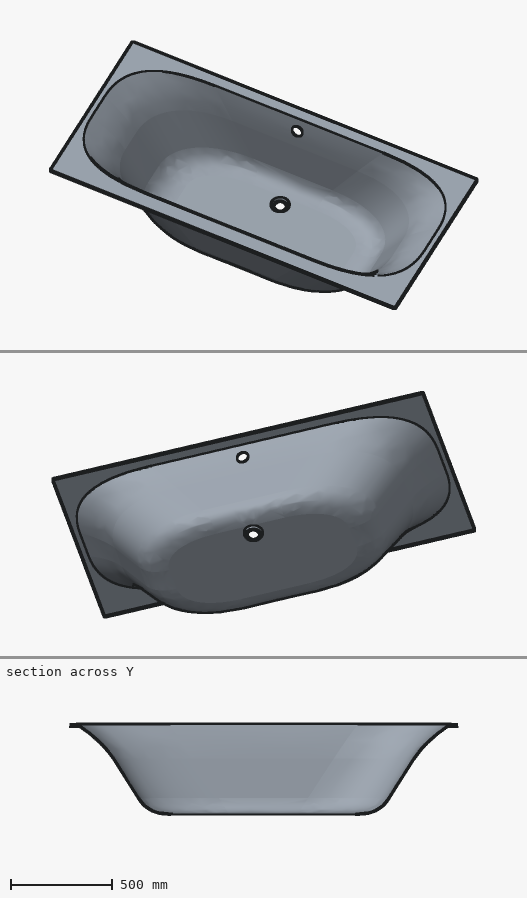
import cadquery as cq

length = 1900.0
width = 898.0
height = 465.0
sheet = 4.7
slope_allowance = 1.2
rim_depth = 15.0
rim_corner_radius = 10.0
rim_edge_round = 4.7
mouth_round = 4.0

basin_y = 10.0
floor_depth = 442.0
base_depth = 368.0
waist_depth = 173.0
flare_depth = 85.0
floor_fall = 0.009

drain_y = 179.0
drain_top_radius = 44.0
drain_bottom_radius = 35.0
drain_hole_radius = 28.0
recess_overrun = 2.0

overflow_radius = 28.0
overflow_depth = 76.0

MOUTH = (915.0, 372.0, 465.0, 76.0, 0.0, 0.0, 0.68)
WAIST = (733.0, 335.0, 344.0, 60.0, -waist_depth, 0.0, 0.62)
BASE = (610.0, 310.0, 218.0, 60.0, -base_depth, floor_fall, 0.6)
FLOOR = (460.0, 215.0, 175.0, 60.0, -floor_depth, floor_fall, 0.6)


def blend(first, second, share):
    """Outline between two outlines; a share outside 0..1 extends the wall beyond them."""
    return tuple(a + (b - a) * share for a, b in zip(first, second))


def level(outline):
    """Height of an outline on the basin axis."""
    return outline[4]


def offset(outline, outward_x=0.0, outward_y=0.0, down=0.0):
    """Outline widened along X and Y and lowered."""
    half_x, half_y, straight_x, straight_y, z, fall, fullness = outline
    return (half_x + outward_x, half_y + outward_y, straight_x, straight_y, z - down, fall, fullness)


def curved_band(start, tangent, end, steps=4):
    """Outlines along a quadratic Bezier sweep from start to end."""
    shares = [step / steps for step in range(steps + 1)]
    return [blend(blend(start, tangent, s), blend(tangent, end, s), s) for s in shares]


def outline_wire(outline):
    """Closed basin outline: four straight stretches joined by Bezier corners."""
    half_x, half_y, straight_x, straight_y, z, fall, fullness = outline
    handle_x = straight_x + (half_x - straight_x) * fullness
    handle_y = straight_y + (half_y - straight_y) * fullness
    side_to_end = [
        (straight_x, half_y),
        (handle_x, half_y),
        (half_x, handle_y),
        (half_x, straight_y),
    ]

    def corner(sign_x, sign_y):
        points = [
            cq.Vector(sign_x * x, basin_y + sign_y * y, z - fall * sign_y * y) for x, y in side_to_end
        ]
        return points if sign_x == sign_y else points[::-1]

    corners = [corner(1, 1), corner(1, -1), corner(-1, -1), corner(-1, 1)]
    edges = []
    for index, points in enumerate(corners):
        following = corners[(index + 1) % len(corners)]
        edges.append(cq.Edge.makeBezier(points))
        edges.append(cq.Edge.makeLine(points[-1], following[0]))
    return cq.Wire.assembleEdges(edges)


def basin(mouth, waist, base, floor):
    """Solid basin: flared top, straight walls, and a rolled edge down to the floor."""
    def wall_at(z):
        return blend(waist, base, (z - level(waist)) / (level(base) - level(waist)))

    bands = [
        curved_band(mouth, wall_at(-flare_depth), waist),
        [waist, base],
        curved_band(base, wall_at(level(floor)), floor),
    ]
    body = cq.Workplane()
    for band in bands:
        straight = len(band) == 2
        body = body.add(cq.Solid.makeLoft([outline_wire(outline) for outline in band], straight))
    return body.combine()


def rim():
    """Flat rim sheet with a turned-down edge all round."""
    def plate(inset, top, bottom):
        return (
            cq.Workplane().workplane(offset=bottom)
            .rect(length - 2 * inset, width - 2 * inset)
            .extrude(top - bottom)
            .edges("|Z").fillet(rim_corner_radius - inset)
        )

    outside = plate(0.0, 0.0, -rim_depth).faces(">Z").edges().fillet(rim_edge_round)
    return outside.cut(plate(sheet, -sheet, -rim_depth))


def drain_cone(bottom_radius, top_radius, bottom, top):
    """Upright cone frustum on the drain axis."""
    base_point = cq.Vector(0, drain_y, bottom)
    return cq.Workplane(cq.Solid.makeCone(bottom_radius, top_radius, top - bottom, base_point))


def drain_hole():
    """Plain hole through the bottom of the drain cup."""
    return (
        cq.Workplane(origin=(0, drain_y, -height))
        .circle(drain_hole_radius)
        .extrude(height - floor_depth)
    )


def overflow_hole():
    """Round hole through the +Y wall, along Y."""
    return (
        cq.Workplane("XZ", origin=(0, width / 2, -overflow_depth))
        .circle(overflow_radius)
        .extrude(width / 2)
    )


wall = sheet * slope_allowance
inside = basin(MOUTH, WAIST, BASE, FLOOR)
outside = basin(
    offset(MOUTH, outward_y=sheet, down=sheet),
    offset(WAIST, wall, sheet),
    offset(BASE, wall, sheet),
    offset(FLOOR, down=sheet),
)
drain_z = -floor_depth - floor_fall * drain_y
cup = drain_cone(drain_bottom_radius + sheet, drain_top_radius + sheet, -height, drain_z - sheet / 2)
recess = drain_cone(drain_bottom_radius, drain_top_radius, -height + sheet, drain_z + recess_overrun)

tub = (
    rim()
    .union(outside)
    .union(cup)
    .cut(inside)
    .cut(recess)
    .cut(drain_hole())
    .cut(overflow_hole())
)

mouth_edges = tub.faces(">Z").val().innerWires()[0].Edges()
rounded_tub = tub.newObject(mouth_edges).fillet(mouth_round)
result = cq.Workplane(rounded_tub.solids().val())